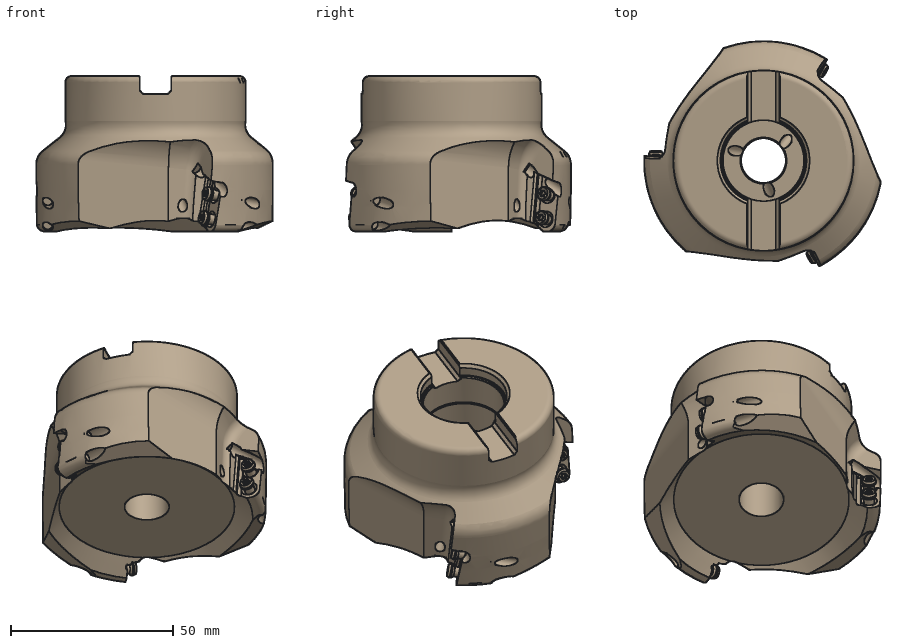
import cadquery as cq
import math

teeth = 3
tooth_step = 360 / teeth

height = 47.95
hub_radius = 27.8
hub_bottom = 34.0
hub_fillet = 2.05
neck_radius, neck_bottom = 29.55, 29.0
cone_radius, cone_bottom = 35.0, 24.6
rim_radius, rim_top = 36.8, 20.6
taper_top = 12.85
tip_radius, tip_width, tip_height = 36.6, 2.55, 2.1

recess_radius = 32.6
recess_floor_radius = 27.0
recess_depth = 4.15

bore_radius, bore_floor = 12.5, 22.6
bore_edge, bore_relief_radius, bore_relief_top = 34.0, 12.85, 33.1
bore_mouth_radius, bore_mouth_bottom = 13.3, 44.1
bore_chamfer = 0.95
bolt_hole_radius = 6.85
bolt_hole_chamfer = 0.3
slot_width, slot_depth = 9.6, 5.55
slot_corner_chamfer = 1.0
slot_edge_chamfer = 0.4

flute_tilt = 5.2
flute_flat_angle = 150
flute_flat_distance = 28.0
flute_floor_distance = 26.3
flute_runout_radius = 12.4
flute_wall_y, flute_wall_height = 1.2, 18.8
flute_corner_radius = 3.3

heel_angle = 231.5
heel_slope = 21.0
heel_start = 28.1

seat_tilt = 10.0
seat_offset = 0.1
seat_inner = 29.2
seat_wall_height = 0.9
lower_ledge_inner, lower_ledge_height = 28.5, 1.45
ledge_inner, ledge_height = 27.9, 3.95
seat_top_inner = 18.6
seat_top_slope = 21.0
seat_clearance = 6.6
seat_corner_relief = 0.7
relief_hole_radius = 1.8
relief_hole_start = (27.15, 19.1, 4.2)
relief_hole_end = (36.8, 13.1, -0.4)

screw_distance = 33.15
screw_heights = (3.9, 11.4)
shank_radius = 1.6
screw_depth = 8.75
screw_hole_depth = 29.2
countersink_depth = 0.9
head_top, head_top_radius = 3.4, 1.8
head_radius, head_upper, head_lower = 2.2, 2.55, 2.1
head_cone_bottom = 1.4
socket_radius, socket_lobe_radius, socket_depth = 0.8, 0.255, 0.95
socket_lobes = 6

duct_radius = 1.5
duct_exit = cq.Vector(-flute_floor_distance, 5.55, 8.0)
duct_entry = cq.Vector(-8.5, 3.0, bore_floor)

cut_reach = 58.4
breakthrough = 3.65


def sin_cos(angle):
    """Sine and cosine of an angle in degrees."""
    return math.sin(math.radians(angle)), math.cos(math.radians(angle))


def around_axis(shape):
    """Copies of a shape, one for each tooth."""
    return [shape.rotate((0, 0, 0), (0, 0, 1), i * tooth_step) for i in range(teeth)]


def turned_blank():
    hub_s = hub_fillet * math.sqrt(0.5)
    return (
        cq.Workplane("XZ")
        .moveTo(0, 0)
        .lineTo(tip_radius - tip_width, 0)
        .tangentArcPoint((tip_radius, tip_height), relative=False)
        .lineTo(rim_radius, taper_top)
        .lineTo(rim_radius, rim_top)
        .tangentArcPoint((cone_radius, cone_bottom), relative=False)
        .lineTo(neck_radius, neck_bottom)
        .tangentArcPoint((hub_radius, hub_bottom), relative=False)
        .lineTo(hub_radius, height - hub_fillet)
        .threePointArc(
            (hub_radius - hub_fillet + hub_s, height - hub_fillet + hub_s),
            (hub_radius - hub_fillet, height),
        )
        .lineTo(0, height)
        .close()
        .revolve(360, (0, 0), (0, 1))
    )


def bottom_recess():
    return (
        cq.Workplane("XZ")
        .polyline([
            (0, 0),
            (recess_radius, 0),
            (recess_floor_radius, recess_depth),
            (0, recess_depth),
        ])
        .close()
        .revolve(360, (0, 0), (0, 1))
    )


def arbor_bore():
    mouth_step = bore_mouth_radius - bore_radius
    return (
        cq.Workplane("XZ")
        .polyline([
            (0, 0),
            (bolt_hole_radius, 0),
            (bolt_hole_radius, bore_floor - bolt_hole_chamfer),
            (bolt_hole_radius + bolt_hole_chamfer, bore_floor),
            (bore_relief_radius, bore_floor),
            (bore_relief_radius, bore_relief_top),
            (bore_radius, bore_edge),
            (bore_radius, bore_mouth_bottom - mouth_step / 2),
            (bore_mouth_radius - mouth_step / 2, bore_mouth_bottom),
            (bore_mouth_radius, bore_mouth_bottom),
            (bore_mouth_radius, height - bore_chamfer),
            (bore_mouth_radius + bore_chamfer, height),
            (0, height),
        ])
        .close()
        .revolve(360, (0, 0), (0, 1))
    )


def driving_slot():
    half = slot_width / 2
    floor = height - slot_depth
    right = [
        (half - slot_corner_chamfer, floor),
        (half, floor + slot_corner_chamfer),
        (half, height - slot_edge_chamfer),
        (half + slot_edge_chamfer, height),
    ]
    left = [(-x, z) for x, z in reversed(right)]
    return cq.Workplane("XZ").polyline(right + left).close().extrude(hub_radius + breakthrough, both=True)


def flute_side(facing, start):
    """Space outside one flat of the flute, with the round runout above it.

    The runout begins at the point `start`, and `facing` is the direction that the flat faces.
    """
    s, c = sin_cos(flute_tilt)
    face_s, face_c = sin_cos(facing)
    along = cq.Vector(face_s * c, -face_c * c, s)
    r = flute_runout_radius
    arc = r * math.sqrt(0.5)
    plane = cq.Plane(origin=start, xDir=(face_c, face_s, 0), normal=along)
    return (
        cq.Workplane(plane)
        .moveTo(0, 0)
        .threePointArc((r - arc, arc), (r, r))
        .lineTo(cut_reach, r)
        .lineTo(cut_reach, -cut_reach)
        .lineTo(0, -cut_reach)
        .close()
        .extrude(cut_reach, both=True)
    )


def chip_flute():
    s, c = sin_cos(flute_tilt)
    wall_normal = cq.Vector(0, c, s)
    edge_x = -flute_floor_distance
    wall_plane = cq.Plane(
        origin=(edge_x, flute_wall_y, flute_wall_height), xDir=(1, 0, 0), normal=wall_normal
    )
    tooth_front = cq.Workplane(wall_plane).rect(4 * cut_reach, 4 * cut_reach).extrude(cut_reach)

    floor_side = flute_side(180, wall_plane.origin).intersect(tooth_front)
    wall_face = cq.selectors.DirectionMinMaxSelector(wall_normal, False)
    floor_side = floor_side.faces(wall_face).edges().fillet(flute_corner_radius)

    flat_s, flat_c = sin_cos(flute_flat_angle)
    edge_y = (flute_flat_distance - edge_x * flat_c) / flat_s
    edge_z = flute_wall_height + (edge_y - flute_wall_y) * s / c
    flat_side = flute_side(flute_flat_angle, (edge_x, edge_y, edge_z)).intersect(tooth_front)
    return floor_side.union(flat_side)


def heel_relief():
    s, c = sin_cos(heel_slope)
    dir_s, dir_c = sin_cos(heel_angle)
    plane = cq.Plane(
        origin=(heel_start * dir_c, heel_start * dir_s, 0),
        xDir=(-dir_s, dir_c, 0),
        normal=(s * dir_c, s * dir_s, -c),
    )
    return cq.Workplane(plane).rect(2 * cut_reach, 2 * cut_reach).extrude(cut_reach)


def seat_plane():
    """Plane of the insert seat: local x points out from the cutter axis and local y up the seat."""
    s, c = sin_cos(seat_tilt)
    return cq.Plane(origin=(0, seat_offset, 0), xDir=(-1, 0, 0), normal=(0, c, s))


def insert_seat():
    plane = seat_plane()
    drop = math.tan(math.radians(seat_top_slope))
    outer = rim_radius + breakthrough
    outline = (
        cq.Workplane(plane)
        .polyline([
            (0, -breakthrough),
            (outer, -breakthrough),
            (outer, seat_top_inner - drop * (outer - ledge_inner)),
            (0, seat_top_inner + drop * ledge_inner),
        ])
        .close()
        .extrude(seat_clearance)
    )
    side_plane = cq.Plane(origin=plane.origin, xDir=plane.xDir, normal=plane.yDir * -1)
    side = (
        cq.Workplane(side_plane)
        .polyline([
            (ledge_inner, seat_clearance),
            (ledge_inner, ledge_height),
            (lower_ledge_inner, lower_ledge_height),
            (seat_inner, seat_wall_height),
            (seat_inner, 0),
            (outer, 0),
            (outer, seat_clearance),
        ])
        .close()
        .extrude(cut_reach, both=True)
    )
    return outline.intersect(side).union(seat_corner_groove()).union(seat_top_relief())


def seat_corner_groove():
    """Round groove along the inner corner of the seat."""
    plane = seat_plane()
    start = plane.toWorldCoords((seat_inner + seat_corner_relief, -breakthrough, seat_wall_height / 3))
    length = seat_top_inner + breakthrough - seat_corner_relief
    groove = cq.Solid.makeCylinder(seat_corner_relief, length, start, plane.yDir)
    return cq.Workplane(groove)


def seat_top_relief():
    """Round hole that slopes down along the upper side of the seat and leaves through the rim."""
    plane = seat_plane()
    start = plane.toWorldCoords(relief_hole_start)
    along = plane.toWorldCoords(relief_hole_end) - start
    hole = cq.Solid.makeCylinder(relief_hole_radius, along.Length + breakthrough, start, along)
    return cq.Workplane(hole)


def screw_points():
    return [(screw_distance, v) for v in screw_heights]


def screw_holes():
    """Holes through the tooth, countersunk at the seat."""
    plane = seat_plane()
    holes = cq.Workplane(plane).pushPoints(screw_points()).circle(shank_radius).extrude(-screw_hole_depth)
    for u, v in screw_points():
        sink = cq.Solid.makeCone(
            shank_radius + countersink_depth, shank_radius, countersink_depth,
            plane.toWorldCoords((u, v, 0)), plane.zDir * -1,
        )
        holes = holes.union(cq.Workplane(sink))
    return holes


def coolant_duct():
    along = duct_exit - duct_entry
    start = duct_entry - along.normalized() * breakthrough
    length = along.Length + 2 * breakthrough
    return cq.Workplane(cq.Solid.makeCylinder(duct_radius, length, start, along))


def cutter_body():
    body = turned_blank().cut(bottom_recess()).cut(arbor_bore()).cut(driving_slot())
    for feature in (chip_flute, heel_relief, insert_seat, screw_holes, coolant_duct):
        for copy in around_axis(feature()):
            body = body.cut(copy)
    return body


def clamping_screw(u, v):
    """Screw standing on the seat plane at the local point (u, v)."""
    plane = seat_plane()
    plane.origin = plane.toWorldCoords((u, v, 0))
    profile_plane = cq.Plane(origin=plane.origin, xDir=plane.xDir, normal=plane.yDir * -1)
    screw = (
        cq.Workplane(profile_plane)
        .polyline([
            (0, -screw_depth),
            (shank_radius, -screw_depth),
            (shank_radius, head_cone_bottom),
            (head_radius, head_lower),
            (head_radius, head_upper),
            (head_top_radius, head_top),
            (0, head_top),
        ])
        .close()
        .revolve(360, (0, 0), (0, 1))
    )
    socket = cq.Workplane(plane).workplane(offset=head_top).circle(socket_radius).extrude(-socket_depth)
    lobes = (
        cq.Workplane(plane)
        .workplane(offset=head_top)
        .polarArray(socket_radius, 0, 360, socket_lobes)
        .circle(socket_lobe_radius)
        .extrude(-socket_depth)
    )
    return screw.cut(socket.union(lobes))


cutter = cutter_body()
screws = []
for u, v in screw_points():
    screws.extend(around_axis(clamping_screw(u, v)))

result = cq.Compound.makeCompound([cutter.solids().val(), *[screw.val() for screw in screws]])